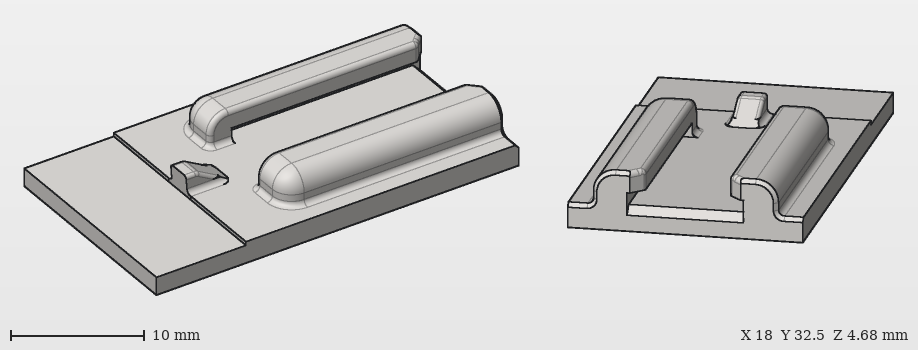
import cadquery as cq

plate_width = 18.0
plate_length = 32.5
floor_height = 1.92
shelf_height = 1.6
shelf_length = 8.03

rail_top = 4.68
rail_inner_x = 3.25
rail_outer_x = 7.1
rail_front_y = 12.77
rail_large_radius = 1.72
rail_small_radius = 0.42
foot_radius = 0.45

channel_front_y = 14.82
undercut_x = 4.45
undercut_top = 3.02

rear_bevel = 0.32
mouth_flare = 1.0
mouth_floor_bevel = 0.65

catch_width = 2.08
catch_top = 3.48
catch_overhang = 0.13
catch_ramp_start_y = 11.75
catch_flat_end_y = 8.95
catch_edge_radius = 0.3
catch_crest_radius = 0.8
catch_foot_radius = 0.45
catch_rear_corner_radius = 0.78

selection_margin = 0.03


def make_plate():
    """Plate with the step down to the shelf, extruded across its width."""
    return (
        cq.Workplane("YZ")
        .moveTo(0, 0)
        .lineTo(plate_length, 0)
        .lineTo(plate_length, floor_height)
        .lineTo(shelf_length, floor_height)
        .lineTo(shelf_length, shelf_height)
        .lineTo(0, shelf_height)
        .close()
        .extrude(plate_width / 2, both=True)
    )


def make_rail():
    """Right-hand rail: large rounds outside and in front, small rounds inside."""
    rail = (
        cq.Workplane("XY", origin=(rail_inner_x, rail_front_y, 0))
        .rect(rail_outer_x - rail_inner_x, plate_length - rail_front_y, centered=False)
        .extrude(rail_top)
    )
    rail = rail.edges("(>X and >Z) or (<Y and >Z) or (>X and <Y)").fillet(rail_large_radius)
    return rail.faces("<X").edges(">Z or <Y").fillet(rail_small_radius)


def add_rails(body):
    """Join both rails to the floor and round their feet outside and in front."""
    rail = make_rail()
    body = body.union(rail).union(rail.mirror("YZ"))
    foot_zone = cq.selectors.BoxSelector(
        (-rail_outer_x - selection_margin, rail_front_y - selection_margin, floor_height - selection_margin),
        (rail_outer_x + selection_margin, plate_length - rear_bevel, floor_height + selection_margin),
    )
    body = body.edges(foot_zone).fillet(foot_radius)

    channel = (
        cq.Workplane("XY", origin=(0, channel_front_y, floor_height))
        .move(-undercut_x, 0)
        .rect(2 * undercut_x, plate_length - channel_front_y, centered=False)
        .extrude(undercut_top - floor_height)
    )
    return body.cut(channel)


def bevel_rear_end(body):
    """Bevel the rear outline over both rails and the floor beside and between them."""
    for side in (-1, 1):
        rear_outline = cq.selectors.BoxSelector(
            (side * rail_outer_x, plate_length - selection_margin, floor_height - selection_margin),
            (side * plate_width / 2, plate_length + selection_margin, rail_top),
        )
        body = body.edges(rear_outline).chamfer(rear_bevel)

    floor_bevel = (
        cq.Workplane("YZ")
        .moveTo(plate_length, floor_height)
        .lineTo(plate_length - mouth_floor_bevel, floor_height)
        .lineTo(plate_length, floor_height - mouth_floor_bevel)
        .close()
        .extrude(undercut_x, both=True)
    )
    return body.cut(floor_bevel)


def flare_mouth(body):
    """Widen the rear end of the channel at 45 degrees and round the new upper edges."""
    mouth_x = rail_inner_x + mouth_flare
    mouth_y = plate_length - mouth_flare
    mouth = (
        cq.Workplane("XY", origin=(0, 0, floor_height))
        .moveTo(-rail_inner_x, mouth_y)
        .lineTo(rail_inner_x, mouth_y)
        .lineTo(mouth_x, plate_length)
        .lineTo(-mouth_x, plate_length)
        .close()
        .extrude(rail_top)
    )
    body = body.cut(mouth)
    for side in (-1, 1):
        upper_edge = cq.selectors.NearestToPointSelector(
            (side * (rail_inner_x + mouth_flare / 2), plate_length - mouth_flare / 2, rail_top)
        )
        body = body.edges(upper_edge).fillet(rail_small_radius)
    return body


def make_catch_side_profile(width):
    """Ramp rising toward the front, with a front face leaning over the shelf."""
    block = (
        cq.Workplane("YZ")
        .moveTo(shelf_length, 0)
        .lineTo(catch_ramp_start_y, 0)
        .lineTo(catch_ramp_start_y, floor_height)
        .lineTo(catch_flat_end_y, catch_top)
        .lineTo(shelf_length - catch_overhang, catch_top)
        .lineTo(shelf_length, shelf_height)
        .close()
        .extrude(width / 2, both=True)
    )
    crest = cq.selectors.NearestToPointSelector((0, catch_flat_end_y, catch_top))
    return block.edges(crest).fillet(catch_crest_radius)


def make_catch():
    """Catch with rounded upper edges and a concave foot along both sides."""
    catch = make_catch_side_profile(catch_width)
    catch = catch.faces(">Z").edges("|Y").fillet(catch_edge_radius)

    foot_width = catch_width + 2 * catch_foot_radius
    foot_top = floor_height + catch_foot_radius
    foot = (
        cq.Workplane("XY")
        .rect(foot_width, 2 * catch_ramp_start_y)
        .extrude(foot_top)
        .edges("|Z and >Y")
        .fillet(catch_rear_corner_radius)
    )
    foot = foot.intersect(make_catch_side_profile(foot_width))
    for side in (-1, 1):
        hollow = (
            cq.Workplane("XZ")
            .center(side * foot_width / 2, foot_top)
            .circle(catch_foot_radius)
            .extrude(-plate_length)
        )
        foot = foot.cut(hollow)
    return catch.union(foot)


plate_with_rails = add_rails(make_plate())
result = flare_mouth(bevel_rear_end(plate_with_rails)).union(make_catch())